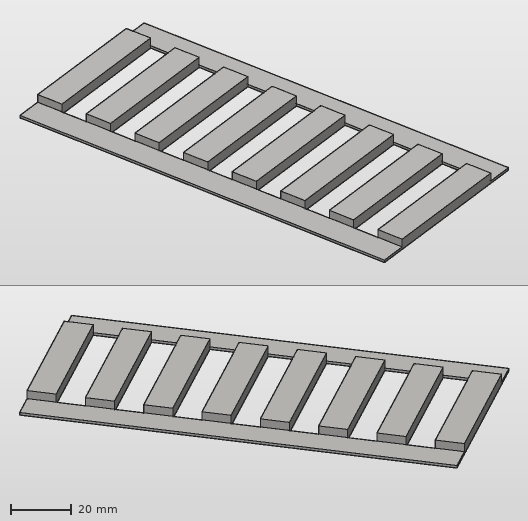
import cadquery as cq

length = 150.0
bar_count = 8
height = 4.0
rail_thickness = 1.0

bar_width = length / (2 * bar_count - 1)
bar_pitch = 2 * bar_width
rail_width = bar_width
bar_length = 5 * bar_width
rail_offset = (bar_length + rail_width) / 2


def block(size_x, size_y, size_z):
    """Box centred in X and Y, standing on Z = 0."""
    return cq.Workplane("XY").box(size_x, size_y, size_z, centered=(True, True, False))


rail = block(length, rail_width, rail_thickness)
front_rail = rail.translate((0, -rail_offset, 0))
back_rail = rail.translate((0, rail_offset, 0))
result = front_rail.union(back_rail)

bar = block(bar_width, bar_length, height)
for index in range(bar_count):
    bar_x = (index - (bar_count - 1) / 2) * bar_pitch
    result = result.union(bar.translate((bar_x, 0, 0)))